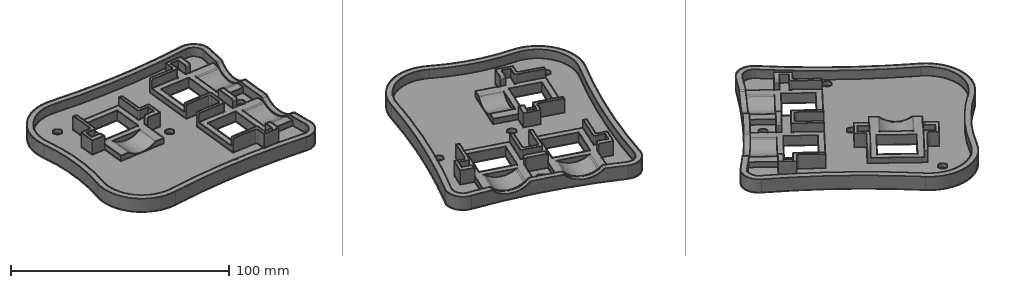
import math

import cadquery as cq

TRAY_WIDTH = 94.95
TRAY_LENGTH = 109.4
RIM_TOP = 7.4
RIM_THICKNESS = 3.0
FLOOR_TOP = 2.5

BACK_CORNER_RADIUS = 8.4
FRONT_CORNER_RADIUS = 22.5
SIDE_ARC_RADIUS = 350.0
BACK_ARC_RADIUS = 300.0
FRONT_ARC_RADIUS = 99.0

SCREW_HOLE_DIAMETER = 4.4
SCREW_HOLE_CENTRES = [(0, 43.3), (0, 2.8), (39.0, 12.9), (-31.0, -38.2)]

PAD_TOP = 5.5
PAD_WIDTH = 24.6
WALL_TOP = 10.3
WALL_THICKNESS = 1.6
WALL_CORNER_RADIUS = 0.9
WALL_END_RADIUS = 1.0
WINDOW_WIDTH = 18.5
WINDOW_LENGTH = 16.0
WINDOW_START = 3.0
SLOT_START = 15.1
SLOT_END = 19.5
SLOT_DEPTH = 5.55
SLOT_SPAN = PAD_WIDTH + 2 * SLOT_DEPTH
EAR_END = 22.0

PAD_GROOVE_RADIUS = 12.2
PAD_GROOVE_BOTTOM = 2.7
BACK_GROOVE_LIP_RADIUS = 1.4
SIDE_GROOVE_LIP_RADIUS = 0.5
RIM_NOTCH_RADIUS = 13.0
RIM_NOTCH_BOTTOM = 3.2
RIM_NOTCH_LIP_RADIUS = 1.5

BACK_HOLDER_OFFSET = 17.75
BACK_HOLDER_START = 15.3
BACK_PAD_LENGTH = 36.0
SIDE_HOLDER_ORIGIN = (-28.0, -17.65)
SIDE_PAD_LENGTH = 34.2


def touching_centre(start, start_radius, end, end_radius, arc_radius):
    """Centre of the arc that touches two corner circles from outside, to the left of start -> end."""
    span_x = end[0] - start[0]
    span_y = end[1] - start[1]
    span = math.hypot(span_x, span_y)
    start_reach = start_radius + arc_radius
    end_reach = end_radius + arc_radius
    along = (start_reach**2 - end_reach**2 + span**2) / (2 * span)
    aside = math.sqrt(start_reach**2 - along**2)
    return (
        start[0] + (along * span_x - aside * span_y) / span,
        start[1] + (along * span_y + aside * span_x) / span,
    )


def toward(centre, target, distance):
    """Point at a distance from centre on the line to target."""
    length = math.dist(centre, target)
    return (
        centre[0] + (target[0] - centre[0]) * distance / length,
        centre[1] + (target[1] - centre[1]) * distance / length,
    )


def tray_outline():
    """Closed outline of the tray, run clockwise from corner to corner."""
    front_x = TRAY_WIDTH / 2 - FRONT_CORNER_RADIUS
    front_y = FRONT_CORNER_RADIUS - TRAY_LENGTH / 2
    back_x = TRAY_WIDTH / 2 - BACK_CORNER_RADIUS
    back_y = TRAY_LENGTH / 2 - BACK_CORNER_RADIUS
    corners = [
        ((-front_x, front_y), FRONT_CORNER_RADIUS, SIDE_ARC_RADIUS),
        ((-back_x, back_y), BACK_CORNER_RADIUS, BACK_ARC_RADIUS),
        ((back_x, back_y), BACK_CORNER_RADIUS, SIDE_ARC_RADIUS),
        ((front_x, front_y), FRONT_CORNER_RADIUS, FRONT_ARC_RADIUS),
    ]
    hollow_centres = []
    for index, (centre, radius, arc_radius) in enumerate(corners):
        next_centre, next_radius, _ = corners[(index + 1) % len(corners)]
        hollow_centres.append(touching_centre(centre, radius, next_centre, next_radius, arc_radius))

    first_centre, first_radius, _ = corners[0]
    outline = cq.Workplane("XY").moveTo(*toward(first_centre, hollow_centres[-1], first_radius))
    for index, (centre, radius, arc_radius) in enumerate(corners):
        next_centre, next_radius, _ = corners[(index + 1) % len(corners)]
        before = hollow_centres[index - 1]
        after = hollow_centres[index]
        corner_start = toward(centre, before, radius)
        corner_end = toward(centre, after, radius)
        hollow_end = toward(next_centre, after, next_radius)
        corner_chord = ((corner_start[0] + corner_end[0]) / 2, (corner_start[1] + corner_end[1]) / 2)
        hollow_chord = ((corner_end[0] + hollow_end[0]) / 2, (corner_end[1] + hollow_end[1]) / 2)
        outline = outline.threePointArc(toward(centre, corner_chord, radius), corner_end)
        outline = outline.threePointArc(toward(after, hollow_chord, arc_radius), hollow_end)
    return outline.close()


def make_tray():
    """Floor with a rim of even thickness around it."""
    cavity = tray_outline().offset2D(-RIM_THICKNESS).extrude(RIM_TOP).translate((0, 0, FLOOR_TOP))
    return tray_outline().extrude(RIM_TOP).cut(cavity)


def block(width, start, end, bottom, top):
    """Box centred on X, from start to end along Y and bottom to top along Z."""
    box = cq.Workplane("XY").box(width, end - start, top - bottom, centered=(True, False, False))
    return box.translate((0, start, bottom))


def groove_cutter(radius, bottom, surface, lip_radius, end):
    """Round-bottomed groove along Y, from the ears to end, with lips rounded into a flat surface."""
    axis_height = bottom + radius
    lip_z = surface - lip_radius
    lip_x = math.sqrt((radius + lip_radius) ** 2 - (axis_height - lip_z) ** 2)
    left = toward((0, axis_height), (-lip_x, lip_z), radius)
    right = (-left[0], left[1])
    profile = (
        cq.Workplane("XZ", origin=(0, EAR_END, 0))
        .moveTo(-lip_x, WALL_TOP)
        .lineTo(-lip_x, surface)
        .radiusArc(left, lip_radius)
        .threePointArc((0, bottom), right)
        .radiusArc((lip_x, surface), lip_radius)
        .lineTo(lip_x, WALL_TOP)
        .close()
    )
    return profile.extrude(EAR_END - end)


def rim_notch():
    """Cutter that carries the cable groove of a back holder out through the rim."""
    return groove_cutter(RIM_NOTCH_RADIUS, RIM_NOTCH_BOTTOM, RIM_TOP, RIM_NOTCH_LIP_RADIUS, TRAY_LENGTH / 2)


def cross_prism(arm_start, arm_end, end, width, arm_width, bottom, top):
    """Strip along Y with a wider cross arm; the corners ahead of the arm are rounded."""
    cross = block(width, 0, end, bottom, top).union(block(arm_width, arm_start, arm_end, bottom, top))
    margin = WALL_CORNER_RADIUS / 2
    for side in (-1, 1):
        x = side * width / 2
        corner = cq.selectors.BoxSelector(
            (x - margin, arm_start - margin, bottom), (x + margin, arm_start + margin, top)
        )
        cross = cross.edges("|Z").edges(corner).fillet(WALL_CORNER_RADIUS)
    return cross


def holder_recess(bottom):
    """Space above the pad, with the two side slots."""
    return cross_prism(SLOT_START, SLOT_END, EAR_END, PAD_WIDTH, SLOT_SPAN, bottom, WALL_TOP)


def holder_walls():
    """Side walls and ears around the recess, with their free ends rounded over at the top."""
    wall_span = PAD_WIDTH + 2 * WALL_THICKNESS
    ear_span = wall_span + 2 * SLOT_DEPTH
    ear_start = SLOT_START - WALL_THICKNESS
    walls = cross_prism(ear_start, EAR_END, EAR_END, wall_span, ear_span, 0, WALL_TOP)
    walls = walls.cut(holder_recess(0))
    walls = walls.edges(">Z").edges("<Y").fillet(WALL_END_RADIUS)
    margin = WALL_THICKNESS / 4
    for side in (-1, 1):
        x = side * PAD_WIDTH / 2
        ear_tip = cq.selectors.BoxSelector(
            (x - margin, SLOT_END + margin, WALL_TOP - margin),
            (x + margin, EAR_END, WALL_TOP + margin),
        )
        walls = walls.edges("|Y").edges(ear_tip).fillet(WALL_END_RADIUS)
    return walls


def holder_pad(pad_length, lip_radius):
    """Raised pad with the slot floors and the cable groove."""
    pad = block(PAD_WIDTH, 0, pad_length, 0, PAD_TOP)
    pad = pad.union(block(SLOT_SPAN, SLOT_START, SLOT_END, 0, PAD_TOP))
    groove = groove_cutter(PAD_GROOVE_RADIUS, PAD_GROOVE_BOTTOM, PAD_TOP, lip_radius, pad_length)
    return pad.cut(groove)


def holder_window():
    """Opening through the pad and the floor."""
    return block(WINDOW_WIDTH, WINDOW_START, WINDOW_START + WINDOW_LENGTH, 0, PAD_TOP)


def place_back(shape, side):
    return shape.translate((side * BACK_HOLDER_OFFSET, BACK_HOLDER_START, 0))


def place_side(shape):
    return shape.rotate((0, 0, 0), (0, 0, 1), -90).translate((*SIDE_HOLDER_ORIGIN, 0))


def add_back_holders(body):
    """Two holders side by side, sharing a slot, with their grooves running out through the rim."""
    for side in (-1, 1):
        body = body.union(place_back(holder_walls(), side))
    for side in (-1, 1):
        body = body.union(place_back(holder_pad(BACK_PAD_LENGTH, BACK_GROOVE_LIP_RADIUS), side))
    for side in (-1, 1):
        body = body.cut(place_back(holder_recess(PAD_TOP), side))
        body = body.cut(place_back(holder_window(), side))
        body = body.cut(place_back(rim_notch(), side))
    return body


def add_side_holder(body):
    """Holder turned a quarter turn, so that its groove points towards +X."""
    body = body.union(place_side(holder_walls()))
    body = body.union(place_side(holder_pad(SIDE_PAD_LENGTH, SIDE_GROOVE_LIP_RADIUS)))
    return body.cut(place_side(holder_window()))


def screw_holes():
    holes = cq.Workplane("XY").pushPoints(SCREW_HOLE_CENTRES)
    return holes.circle(SCREW_HOLE_DIAMETER / 2).extrude(FLOOR_TOP)


result = add_side_holder(add_back_holders(make_tray())).cut(screw_holes())